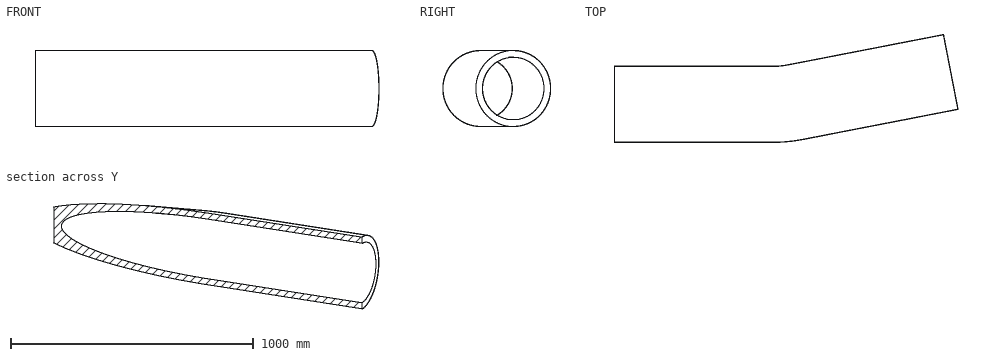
import cadquery as cq
import math

overall_length = 1417.0
outer_diameter = 315.0
bore_diameter = 258.0
bend_angle = 11.0
bend_radius = 1.5 * outer_diameter

outer_radius = outer_diameter / 2
bend_sin = math.sin(math.radians(bend_angle))
bend_cos = math.cos(math.radians(bend_angle))
leg_length = (overall_length - (bend_radius + outer_radius) * bend_sin) / (1 + bend_cos)

bend_end = (leg_length + bend_radius * bend_sin, bend_radius * (1 - bend_cos))


def ring(plane):
    """Pipe cross-section: outer wall with concentric bore."""
    return cq.Workplane(plane).circle(outer_radius).circle(bore_diameter / 2)


def straight_leg(start, direction):
    """Straight pipe of one leg length, square at both ends."""
    plane = cq.Plane(origin=(*start, 0), xDir=(0, 0, 1), normal=(*direction, 0))
    return ring(plane).extrude(leg_length)


def elbow():
    """Pipe bend revolved about a vertical axis through the bend centre."""
    plane = cq.Plane(origin=(leg_length, 0, 0), xDir=(0, 1, 0), normal=(1, 0, 0))
    axis_start = (bend_radius, 0)
    axis_end = (bend_radius, 1)
    return ring(plane).revolve(bend_angle, axis_start, axis_end)


inlet_leg = straight_leg((0, 0), (1, 0))
outlet_leg = straight_leg(bend_end, (bend_cos, bend_sin))

result = inlet_leg.union(elbow()).union(outlet_leg)